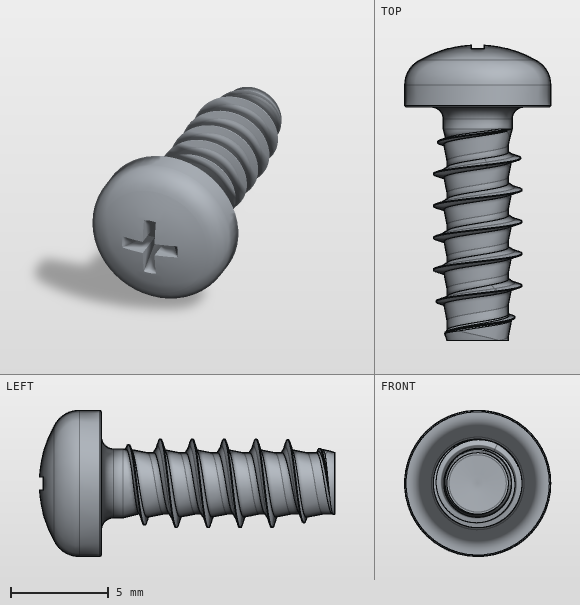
import cadquery as cq
import math


head_diameter = 7.5
head_radius = head_diameter / 2
head_height = 3.2
head_band_height = 1.14
head_edge_chamfer = 0.08
crown_edge_radius = 2.94
crown_edge_drop = 0.77

recess_arm_width = 0.65
recess_radius = 1.64
recess_depth = 1.82
recess_wall_angle = 26.5

shank_length = 11.97
neck_radius = 1.77
neck_end = 1.1
neck_fillet = 0.6
core_radius = 1.58
core_taper_end = 1.9
tip_dish_radius = 1.47
tip_dish_depth = 0.09

pitch = 1.64
crest_radius = 2.27
crest_flat = 0.05
first_crest = -0.67
thread_turns = 8.0
flank_break_radius = 1.9
flank_break_offset = 0.14
upper_root_offset = 0.33
lower_root_radius = 1.74
lower_root_offset = 0.18
run_in_end = 2.95
run_in_slope = 0.18
run_out_start = 9.44
run_out_slope = -0.27

groove_cone_start = 0.12
groove_cone_end = 0.97
collar_back_offset = 0.23

root_cover = 0.03

trim_clearance = 0.15


def arc_tangent_to_axis_line(end_radius, end_z, start_radius, start_z):
    """Middle point of the arc that leaves (start) parallel to the axis and reaches (end)."""
    inset = start_radius - end_radius
    rise = start_z - end_z
    arc_radius = (inset**2 + rise**2) / (2 * inset)
    half_angle = math.asin(rise / arc_radius) / 2
    return (
        start_radius - arc_radius * (1 - math.cos(half_angle)),
        start_z - arc_radius * math.sin(half_angle),
    )


def revolve_about_axis(outline):
    """Revolve a closed XZ outline about the screw axis."""
    return outline.close().revolve(360, (0, 0, 0), (0, 1, 0))


def make_body():
    """Head, neck and the taper into the core as one revolved profile."""
    crown_sphere = (crown_edge_radius**2 + crown_edge_drop**2) / (2 * crown_edge_drop)
    mid_radius = crown_edge_radius / 2
    mid_drop = crown_sphere - math.sqrt(crown_sphere**2 - mid_radius**2)
    crown_edge_z = crown_edge_drop - head_height
    shoulder_mid = arc_tangent_to_axis_line(
        crown_edge_radius, crown_edge_z, head_radius, -head_band_height
    )
    fillet_mid = neck_fillet * (1 - math.sqrt(0.5))

    outline = (
        cq.Workplane("XZ")
        .moveTo(0, -head_height)
        .threePointArc((mid_radius, mid_drop - head_height), (crown_edge_radius, crown_edge_z))
        .threePointArc(shoulder_mid, (head_radius, -head_band_height))
        .lineTo(head_radius, -head_edge_chamfer)
        .lineTo(head_radius - head_edge_chamfer, 0)
        .lineTo(neck_radius + neck_fillet, 0)
        .threePointArc((neck_radius + fillet_mid, fillet_mid), (neck_radius, neck_fillet))
        .lineTo(neck_radius, neck_end)
        .lineTo(core_radius, core_taper_end)
        .lineTo(0, core_taper_end)
    )
    return revolve_about_axis(outline)


def extend_to_radius(start, end, radius):
    """Point at the given radius on the line through two (radius, offset) points."""
    share = (radius - start[0]) / (end[0] - start[0])
    return radius, start[1] + share * (end[1] - start[1])


def phase_angle(z):
    """Turn of the thread about the axis, in degrees, when its crest line has reached z."""
    return 360 * (z - first_crest) / pitch


def turn_about_axis(shape, angle):
    """Rotate a shape about the screw axis."""
    return shape.rotate(cq.Vector(), cq.Vector(0, 0, 1), angle)


def conical_helix(radius, start_z, height, slope):
    """Right-handed helix on a cone, phased so that first_crest lies at the +X side."""
    if slope == 0:
        helix = cq.Wire.makeHelix(pitch, height, radius)
    else:
        cone_angle = math.atan(slope)
        slant = 1 / math.cos(cone_angle)
        helix = cq.Wire.makeHelix(
            pitch * slant, height * slant, radius, angle=math.degrees(cone_angle)
        )
    return turn_about_axis(helix, phase_angle(start_z))


def helical_bar(profile, start_z, end_z, start_sink=0.0, slope=0.0):
    """Solid swept by a (radius, offset) profile; it starts sunk by start_sink and rises by slope."""
    height = end_z - start_z
    rails = [
        conical_helix(radius - start_sink, start_z, height, slope).translate(
            cq.Vector(0, 0, start_z + offset)
        )
        for radius, offset in profile
    ]
    next_rails = rails[1:] + rails[:1]
    sides = [cq.Face.makeRuledSurface(a, b) for a, b in zip(rails, next_rails)]

    def end_cap(sink, z):
        corners = [cq.Vector(radius - sink, 0, z + offset) for radius, offset in profile]
        cap = cq.Face.makeFromWires(cq.Wire.makePolygon(corners, close=True))
        return turn_about_axis(cap, phase_angle(z))

    caps = [end_cap(start_sink, start_z), end_cap(start_sink - slope * height, end_z)]
    return cq.Workplane(cq.Solid.makeSolid(cq.Shell.makeShell(sides + caps)))


def make_thread():
    """Core rod with its groove collar and thread, trimmed between the neck and the dished tip."""
    last_crest = first_crest + thread_turns * pitch
    buried_radius = core_radius - root_cover

    upper_root = (core_radius, -upper_root_offset)
    flank_break = (flank_break_radius, -flank_break_offset)
    lower_crest = (crest_radius, crest_flat / 2)
    lower_root = (lower_root_radius, lower_root_offset)
    ridge_profile = [
        extend_to_radius(upper_root, flank_break, buried_radius),
        flank_break,
        (crest_radius, -crest_flat / 2),
        lower_crest,
        extend_to_radius(lower_crest, lower_root, buried_radius),
    ]

    cone_end = (core_radius, groove_cone_end)
    collar_profile = [
        (buried_radius, -collar_back_offset),
        (lower_root_radius, groove_cone_start),
        extend_to_radius((lower_root_radius, groove_cone_start), cone_end, buried_radius),
    ]

    run_in_sink = run_in_slope * (run_in_end - first_crest)
    bars = [
        helical_bar(collar_profile, first_crest, last_crest),
        helical_bar(ridge_profile, first_crest, run_in_end, run_in_sink, run_in_slope),
        helical_bar(ridge_profile, run_in_end, run_out_start),
        helical_bar(ridge_profile, run_out_start, last_crest, 0.0, run_out_slope),
    ]

    thread = (
        cq.Workplane("XY", origin=(0, 0, first_crest - pitch))
        .circle(core_radius)
        .extrude((thread_turns + 2) * pitch)
    )
    for bar in bars:
        thread = thread.union(bar)

    envelope = revolve_about_axis(
        cq.Workplane("XZ")
        .moveTo(0, neck_end)
        .lineTo(crest_radius + trim_clearance, neck_end)
        .lineTo(crest_radius + trim_clearance, run_out_start)
        .lineTo(core_radius, shank_length)
        .lineTo(tip_dish_radius, shank_length)
        .lineTo(0, shank_length - tip_dish_depth)
    )
    return thread.intersect(envelope)


def make_recess():
    """Cross recess: two crossed slabs inside a cone that narrows into the head."""
    floor_radius = recess_radius - recess_depth * math.tan(math.radians(recess_wall_angle))
    cone = revolve_about_axis(
        cq.Workplane("XZ")
        .moveTo(0, -head_height)
        .lineTo(recess_radius, -head_height)
        .lineTo(floor_radius, recess_depth - head_height)
        .lineTo(0, recess_depth - head_height)
    )
    slab_size = (2 * recess_radius, recess_arm_width, 2 * head_height)
    slab = cq.Workplane("XY").box(*slab_size)
    cross = slab.union(slab.rotate((0, 0, 0), (0, 0, 1), 90))
    return cone.intersect(cross)


screw = make_body().union(make_thread()).cut(make_recess())
result = screw.rotate((0, 0, 0), (1, 0, 0), 90)